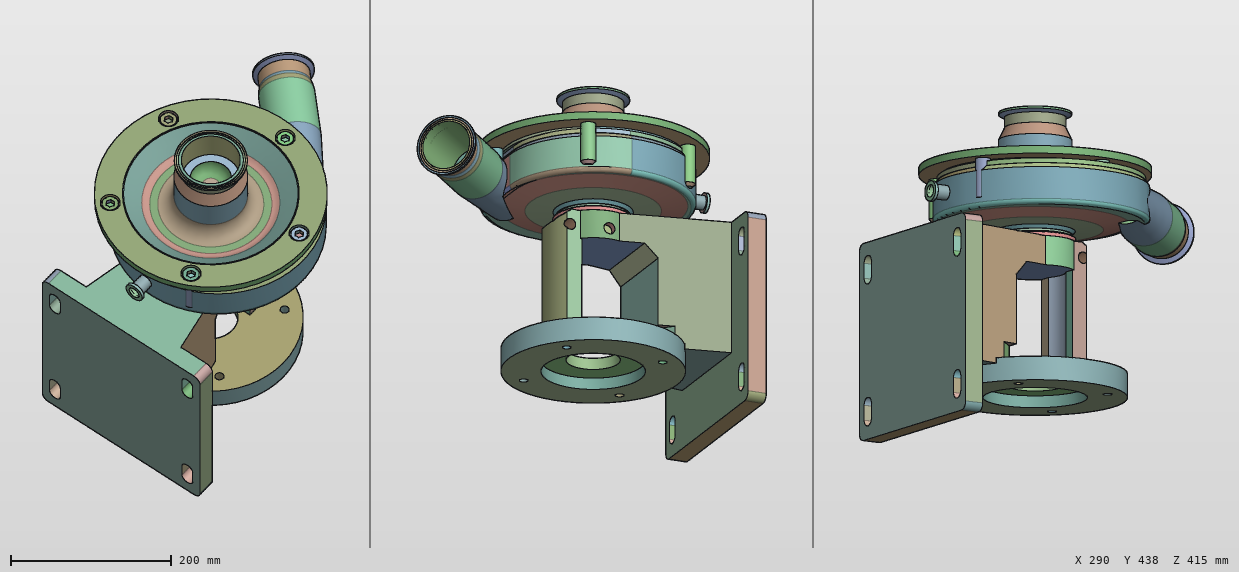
import cadquery as cq
import math


PLATE_SIZE = 250.0
PLATE_THICK = 25.0
PLATE_BACK_Y = -180.0
PLATE_FRONT_Y = PLATE_BACK_Y + PLATE_THICK
PLATE_CORNER_R = 10.0
SLOT_WIDTH = 17.0
SLOT_LENGTH = 36.0
SLOT_PITCH_X = 210.0
SLOT_PITCH_Z = 180.0

MOTOR_FLANGE_R = 115.0
MOTOR_FLANGE_Z = 54.0
MOTOR_FLANGE_THICK = 30.0
MOTOR_FLANGE_TOP = MOTOR_FLANGE_Z + MOTOR_FLANGE_THICK
MOTOR_BORE_R = 33.8
MOTOR_SPIGOT_R = 65.0
MOTOR_SPIGOT_DEPTH = 15.0
BOLT_CIRCLE_R = 92.5
BOLT_HOLE_D = 11.0

LANTERN_TOP = PLATE_SIZE
HUB_R = 50.0
HUB_BOTTOM = 213.0
HUB_HOLE_D = 14.7
HUB_HOLE_DEPTH = 10.0
HUB_HOLE_Z = 227.0
WEB_HALF_WIDTH = 75.0
WEB_TANGENT_Y = -14.7
WEB_TANGENT_X = math.sqrt(HUB_R**2 - WEB_TANGENT_Y**2)
WEB_INNER_Y = -63.0
WEB_CHAMFER_Y = 17.0
WEB_CHAMFER_Z = 18.5
WEB_RELIEF_LENGTH = 21.0
WEB_RELIEF_HEIGHT = 22.0
WEB_BOTTOM = 77.0
WEB_STEP_Y = -96.5
PILLAR_R = 64.0
PILLAR_HALF_WIDTH = 36.6
PILLAR_INNER_Y = 32.0
PILLAR_GROOVE_R = 38.0
PILLAR_CHAMFER_Y = 18.0
PILLAR_CHAMFER_Z = 12.0
PILLAR_HOLE_D = 14.3
PILLAR_HOLE_Y = 47.5
PILLAR_HOLE_Z = 230.2

CASING_BOTTOM = 273.0
CASING_TOP = 325.3
CASING_TOP_CHAMFER = (4.0, 5.8)
CASING_BOTTOM_FILLET = 6.0
VOLUTE_CENTRE = (8.0, 4.0)
VOLUTE_R = 135.0
VOLUTE_TOP_Y = 119.0
RIM_INSET = 5.0
RIM_TOP = 331.4
COVER_R = 118.0
BACK_WALL = [(118.0, 273.0), (85.0, 266.5), (50.0, 264.5)]
NECK_R = 46.5
NECK_GROOVE_R = 45.0
NECK_GROOVE_Z = (257.0, 260.0)
NECK_RING_R = 50.5
NECK_RING_TOP = 254.8

FRONT_FLANGE_R = 145.0
FRONT_FLANGE_BOTTOM = 335.4
FRONT_FLANGE_TOP = 345.0
DISH_FLOOR = 321.5
DISH_FLOOR_INNER_R = 66.0
DISH_FLOOR_OUTER_R = 76.0
DISH_WALL_ANGLE = 40.0
DISH_FILLET_R = 15.5
DISH_WALL_TOP_R = 108.6
DISH_LIP_R = 110.0

SCREW_COUNT = 5
SCREW_FIRST_ANGLE = 9.0
SCREW_CIRCLE_R = 126.0
SCREW_BOSS_R = 9.5
SCREW_BOSS_BOTTOM = 281.5
SCREW_BOSS_CHAMFER = 4.0
COUNTERBORE_R = 12.4
COUNTERBORE_DEPTH = 6.0
SCREW_HEAD_R = 10.3
SCREW_HEAD_RECESS = 1.5
SOCKET_FLATS = 10.0
SOCKET_DEPTH = 6.0

INLET_TOP = 415.0
INLET_BODY_R = 46.0
INLET_CONE_Z = (379.8, 395.7)
INLET_TUBE_R = 38.5
INLET_BORE_R = 36.6
INLET_FLOOR = 376.0
INLET_EYE_R = 25.8
INLET_EYE_FLOOR_R = 11.0
FERRULE_LIP = 2.85
FERRULE_LENGTH = 6.0
GASKET_GROOVE_DEPTH = 1.0
INLET_FERRULE_R = 45.5
INLET_GROOVE_RADII = (40.5, 43.0)

OUTLET_Z = 297.0
OUTLET_OFFSET = 115.6
OUTLET_LENGTH = 210.5
OUTLET_ANGLE = 135.0
OUTLET_PIPE_R = 35.4
OUTLET_THROAT_R = 28.0
OUTLET_THROAT_LENGTH = 106.0
OUTLET_TUBE_R = 32.7
OUTLET_BORE_R = 31.2
OUTLET_FERRULE_R = 38.75
OUTLET_GROOVE_RADII = (33.7, 36.2)
OUTLET_TUBE_LENGTH = 23.0
OUTLET_SHOULDER_R = 34.3
OUTLET_SHOULDER_LENGTH = 28.0
OUTLET_REDUCER_LENGTH = 35.5

DRAIN_Z = 300.0
DRAIN_TUBE_R = 9.3
DRAIN_FERRULE_R = 12.8
DRAIN_FERRULE_THICK = 4.0
DRAIN_BORE_R = 7.8
DRAIN_END_Y = -154.0
DRAIN_BORE_DEPTH = 25.0


def cylinder(radius, z_low, z_high, x=0.0, y=0.0):
    return cq.Workplane("XY", origin=(x, y, z_low)).circle(radius).extrude(z_high - z_low)


def revolve_about_z(points):
    """Full revolution of a closed (radius, z) polygon about Z."""
    return cq.Workplane("XZ").polyline(points).close().revolve(360, (0, 0, 0), (0, 1, 0))


def x_hole(diameter, y, z, x_start, x_end):
    plane = cq.Workplane("YZ", origin=(x_start, 0, 0))
    return plane.center(y, z).circle(diameter / 2).extrude(x_end - x_start)


def on_circle(radius, angle):
    a = math.radians(angle)
    return (radius * math.cos(a), radius * math.sin(a))


def mounting_plate():
    plate = cq.Workplane("XY").box(PLATE_SIZE, PLATE_THICK, PLATE_SIZE, centered=(True, False, False))
    plate = plate.translate((0, PLATE_BACK_Y, 0)).edges("|Y").fillet(PLATE_CORNER_R)
    slots = (
        cq.Workplane("XZ", origin=(0, PLATE_FRONT_Y, PLATE_SIZE / 2))
        .rarray(SLOT_PITCH_X, SLOT_PITCH_Z, 2, 2)
        .slot2D(SLOT_LENGTH, SLOT_WIDTH, 90)
        .extrude(PLATE_THICK)
    )
    return plate.cut(slots)


def web_relief():
    """Corner cut at the foot of the web on its -X side."""
    taper = (WEB_HALF_WIDTH - WEB_TANGENT_X) / (WEB_TANGENT_Y - PLATE_FRONT_Y)
    outer_y = WEB_INNER_Y - WEB_RELIEF_LENGTH
    outer_x = -(WEB_TANGENT_X + taper * (WEB_TANGENT_Y - outer_y))
    return (
        cq.Workplane("XY", origin=(0, 0, MOTOR_FLANGE_TOP))
        .polyline([
            (outer_x, outer_y),
            (outer_x + WEB_RELIEF_LENGTH, WEB_INNER_Y),
            (outer_x, WEB_INNER_Y),
        ])
        .close()
        .extrude(WEB_RELIEF_HEIGHT)
    )


def web():
    """Tapered arm from the plate to the hub, trimmed to its side profile."""
    plan = (
        cq.Workplane("XY")
        .polyline([
            (-WEB_HALF_WIDTH, PLATE_FRONT_Y),
            (WEB_HALF_WIDTH, PLATE_FRONT_Y),
            (WEB_TANGENT_X, WEB_TANGENT_Y),
            (-WEB_TANGENT_X, WEB_TANGENT_Y),
        ])
        .close()
        .extrude(LANTERN_TOP)
    )
    side = (
        cq.Workplane("YZ")
        .polyline([
            (PLATE_FRONT_Y, LANTERN_TOP),
            (0, LANTERN_TOP),
            (0, HUB_BOTTOM),
            (WEB_INNER_Y + WEB_CHAMFER_Y, HUB_BOTTOM),
            (WEB_INNER_Y, HUB_BOTTOM - WEB_CHAMFER_Z),
            (WEB_INNER_Y, MOTOR_FLANGE_TOP),
            (WEB_STEP_Y, MOTOR_FLANGE_TOP),
            (WEB_STEP_Y, WEB_BOTTOM),
            (PLATE_FRONT_Y, WEB_BOTTOM),
        ])
        .close()
        .extrude(WEB_HALF_WIDTH, both=True)
    )
    relief = web_relief()
    return plan.intersect(side).cut(relief).cut(relief.mirror("YZ"))


def pillar():
    """Front post: a strip of a round column with a chamfered top and a hollow inner face."""
    side = (
        cq.Workplane("YZ")
        .polyline([
            (PILLAR_INNER_Y, MOTOR_FLANGE_TOP),
            (PILLAR_R, MOTOR_FLANGE_TOP),
            (PILLAR_R, LANTERN_TOP - PILLAR_CHAMFER_Z),
            (PILLAR_R - PILLAR_CHAMFER_Y, LANTERN_TOP),
            (PILLAR_INNER_Y, LANTERN_TOP),
        ])
        .close()
        .extrude(PILLAR_HALF_WIDTH, both=True)
    )
    post = side.intersect(cylinder(PILLAR_R, MOTOR_FLANGE_TOP, LANTERN_TOP))
    return post.cut(cylinder(PILLAR_GROOVE_R, MOTOR_FLANGE_TOP, HUB_BOTTOM))


def lantern():
    body = cylinder(MOTOR_FLANGE_R, MOTOR_FLANGE_Z, MOTOR_FLANGE_TOP)
    body = body.union(web()).union(pillar()).union(cylinder(HUB_R, HUB_BOTTOM, LANTERN_TOP))
    body = body.cut(cylinder(MOTOR_BORE_R, MOTOR_FLANGE_Z, MOTOR_FLANGE_TOP))
    body = body.cut(cylinder(MOTOR_SPIGOT_R, MOTOR_FLANGE_Z, MOTOR_FLANGE_Z + MOTOR_SPIGOT_DEPTH))
    for angle in (45, 135, 225, 315):
        x, y = on_circle(BOLT_CIRCLE_R, angle)
        body = body.cut(cylinder(BOLT_HOLE_D / 2, MOTOR_FLANGE_Z, MOTOR_FLANGE_TOP, x, y))
    body = body.cut(x_hole(PILLAR_HOLE_D, PILLAR_HOLE_Y, PILLAR_HOLE_Z, -PILLAR_R, PILLAR_R))
    body = body.cut(x_hole(HUB_HOLE_D, 0, HUB_HOLE_Z, -HUB_R, HUB_HOLE_DEPTH - HUB_R))
    return body


def volute(z_low, z_high, inset=0.0):
    """Prism of a large arc, a smaller arc tangent to it at -X, and a flat side at +Y."""
    centre_x, centre_y = VOLUTE_CENTRE
    radius = VOLUTE_R - inset
    top_y = VOLUTE_TOP_Y - inset
    small_radius = top_y - centre_y
    left_x = centre_x - radius
    small_centre_x = left_x + small_radius
    corner_x = centre_x + math.sqrt(radius**2 - small_radius**2)
    small_mid = on_circle(small_radius, 135)
    return (
        cq.Workplane("XY", origin=(0, 0, z_low))
        .moveTo(corner_x, top_y)
        .threePointArc((centre_x, centre_y - radius), (left_x, centre_y))
        .threePointArc((small_centre_x + small_mid[0], centre_y + small_mid[1]), (small_centre_x, top_y))
        .close()
        .extrude(z_high - z_low)
    )


def casing():
    chamfer_inset, chamfer_height = CASING_TOP_CHAMFER
    body = volute(CASING_BOTTOM, CASING_TOP)
    body = body.faces(">Z").chamfer(chamfer_height, chamfer_inset)
    body = body.faces("<Z").edges().fillet(CASING_BOTTOM_FILLET)
    body = body.union(volute(CASING_TOP, RIM_TOP, RIM_INSET))
    body = body.union(cylinder(COVER_R, RIM_TOP, FRONT_FLANGE_BOTTOM))
    groove_low, groove_high = NECK_GROOVE_Z
    back_profile = [
        (0, CASING_BOTTOM),
        *BACK_WALL,
        (NECK_R, groove_high),
        (NECK_GROOVE_R, groove_high),
        (NECK_GROOVE_R, groove_low),
        (NECK_R, groove_low),
        (NECK_R, NECK_RING_TOP),
        (NECK_RING_R, NECK_RING_TOP),
        (NECK_RING_R, LANTERN_TOP),
        (0, LANTERN_TOP),
    ]
    return body.union(revolve_about_z(back_profile))


def dish():
    """Annular hollow around the inlet, filleted at the neck and at the foot of its wall."""
    neck_fillet_r = DISH_FLOOR_INNER_R - INLET_BODY_R
    half_turn = math.radians(45)
    neck_mid = (
        DISH_FLOOR_INNER_R - neck_fillet_r * math.cos(half_turn),
        DISH_FLOOR + neck_fillet_r * (1 - math.sin(half_turn)),
    )

    def wall_fillet_point(angle):
        a = math.radians(angle)
        return (
            DISH_FLOOR_OUTER_R + DISH_FILLET_R * math.sin(a),
            DISH_FLOOR + DISH_FILLET_R * (1 - math.cos(a)),
        )

    wall_foot = wall_fillet_point(DISH_WALL_ANGLE)
    wall_rise = (DISH_WALL_TOP_R - wall_foot[0]) * math.tan(math.radians(DISH_WALL_ANGLE))
    profile = (
        cq.Workplane("XZ")
        .moveTo(INLET_BODY_R, FRONT_FLANGE_TOP)
        .lineTo(INLET_BODY_R, DISH_FLOOR + neck_fillet_r)
        .threePointArc(neck_mid, (DISH_FLOOR_INNER_R, DISH_FLOOR))
        .lineTo(DISH_FLOOR_OUTER_R, DISH_FLOOR)
        .threePointArc(wall_fillet_point(DISH_WALL_ANGLE / 2), wall_foot)
        .lineTo(DISH_WALL_TOP_R, wall_foot[1] + wall_rise)
        .lineTo(DISH_LIP_R, wall_foot[1] + wall_rise)
        .lineTo(DISH_LIP_R, FRONT_FLANGE_TOP)
        .close()
    )
    return profile.revolve(360, (0, 0, 0), (0, 1, 0))


def screw_boss():
    boss = cylinder(SCREW_BOSS_R, SCREW_BOSS_BOTTOM, FRONT_FLANGE_BOTTOM)
    return boss.faces("<Z").chamfer(SCREW_BOSS_CHAMFER)


def screw_recess():
    """Ring gap around a sunk socket head, with the hexagon socket in the head."""
    recess = cylinder(COUNTERBORE_R, FRONT_FLANGE_TOP - COUNTERBORE_DEPTH, FRONT_FLANGE_TOP)
    head_top = FRONT_FLANGE_TOP - SCREW_HEAD_RECESS
    recess = recess.cut(cylinder(SCREW_HEAD_R, FRONT_FLANGE_TOP - COUNTERBORE_DEPTH, head_top))
    socket_corners_d = SOCKET_FLATS / math.cos(math.radians(30))
    socket = cq.Workplane("XY", origin=(0, 0, head_top)).polygon(6, socket_corners_d)
    return recess.union(socket.extrude(-SOCKET_DEPTH))


def gasket_groove(radii, face_z):
    inner_r, outer_r = radii
    ring = cq.Workplane("XY", origin=(0, 0, face_z)).circle(outer_r).circle(inner_r)
    return ring.extrude(-GASKET_GROOVE_DEPTH)


def inlet():
    cone_low, cone_high = INLET_CONE_Z
    spigot = revolve_about_z([
        (0, FRONT_FLANGE_TOP),
        (INLET_BODY_R, FRONT_FLANGE_TOP),
        (INLET_BODY_R, cone_low),
        (INLET_TUBE_R, cone_high),
        (INLET_TUBE_R, INLET_TOP - FERRULE_LENGTH),
        (INLET_FERRULE_R, INLET_TOP - FERRULE_LIP),
        (INLET_FERRULE_R, INLET_TOP),
        (0, INLET_TOP),
    ])
    return spigot.cut(gasket_groove(INLET_GROOVE_RADII, INLET_TOP))


def inlet_bore():
    """Straight bore with a flat shoulder and a rounded eye below it."""
    eye_fillet_r = INLET_EYE_R - INLET_EYE_FLOOR_R
    half_turn = math.radians(45)
    eye_mid = (
        INLET_EYE_FLOOR_R + eye_fillet_r * math.sin(half_turn),
        INLET_FLOOR - eye_fillet_r * math.cos(half_turn),
    )
    profile = (
        cq.Workplane("XZ")
        .moveTo(0, INLET_TOP)
        .lineTo(INLET_BORE_R, INLET_TOP)
        .lineTo(INLET_BORE_R, INLET_FLOOR)
        .lineTo(INLET_EYE_R, INLET_FLOOR)
        .threePointArc(eye_mid, (INLET_EYE_FLOOR_R, INLET_FLOOR - eye_fillet_r))
        .lineTo(0, INLET_FLOOR - eye_fillet_r)
        .close()
    )
    return profile.revolve(360, (0, 0, 0), (0, 1, 0))


def place_outlet(spigot):
    """Move a spigot modelled along +Z onto the outlet axis."""
    offset_x, offset_y = on_circle(OUTLET_OFFSET, OUTLET_ANGLE - 90)
    laid_down = spigot.rotate((0, 0, 0), (0, 1, 0), 90)
    return laid_down.rotate((0, 0, 0), (0, 0, 1), OUTLET_ANGLE).translate((offset_x, offset_y, OUTLET_Z))


def outlet():
    spigot = revolve_about_z([
        (0, 0),
        (OUTLET_THROAT_R, 0),
        (OUTLET_PIPE_R, OUTLET_THROAT_LENGTH),
        (OUTLET_PIPE_R, OUTLET_LENGTH - OUTLET_REDUCER_LENGTH),
        (OUTLET_SHOULDER_R, OUTLET_LENGTH - OUTLET_SHOULDER_LENGTH),
        (OUTLET_TUBE_R, OUTLET_LENGTH - OUTLET_TUBE_LENGTH),
        (OUTLET_TUBE_R, OUTLET_LENGTH - FERRULE_LENGTH),
        (OUTLET_FERRULE_R, OUTLET_LENGTH - FERRULE_LIP),
        (OUTLET_FERRULE_R, OUTLET_LENGTH),
        (0, OUTLET_LENGTH),
    ])
    return place_outlet(spigot.cut(gasket_groove(OUTLET_GROOVE_RADII, OUTLET_LENGTH)))


def outlet_bore():
    return place_outlet(cylinder(OUTLET_BORE_R, OUTLET_THROAT_LENGTH, OUTLET_LENGTH))


def drain():
    end = cq.Workplane("XZ", origin=(0, DRAIN_END_Y, DRAIN_Z))
    tube = end.circle(DRAIN_TUBE_R).extrude(DRAIN_END_Y + COVER_R)
    return tube.union(end.circle(DRAIN_FERRULE_R).extrude(-DRAIN_FERRULE_THICK))


def drain_bore():
    end = cq.Workplane("XZ", origin=(0, DRAIN_END_Y, DRAIN_Z))
    return end.circle(DRAIN_BORE_R).extrude(-DRAIN_BORE_DEPTH)


def pump():
    body = casing().union(cylinder(FRONT_FLANGE_R, FRONT_FLANGE_BOTTOM, FRONT_FLANGE_TOP))
    screw_places = [
        on_circle(SCREW_CIRCLE_R, SCREW_FIRST_ANGLE + i * 360 / SCREW_COUNT) for i in range(SCREW_COUNT)
    ]
    for x, y in screw_places:
        body = body.union(screw_boss().translate((x, y, 0)))
        body = body.cut(screw_recess().translate((x, y, 0)))
    body = body.union(outlet()).union(drain())
    body = body.cut(outlet_bore()).cut(drain_bore())
    body = body.cut(dish()).union(inlet())
    return body.cut(inlet_bore())


result = mounting_plate().union(lantern()).union(pump())